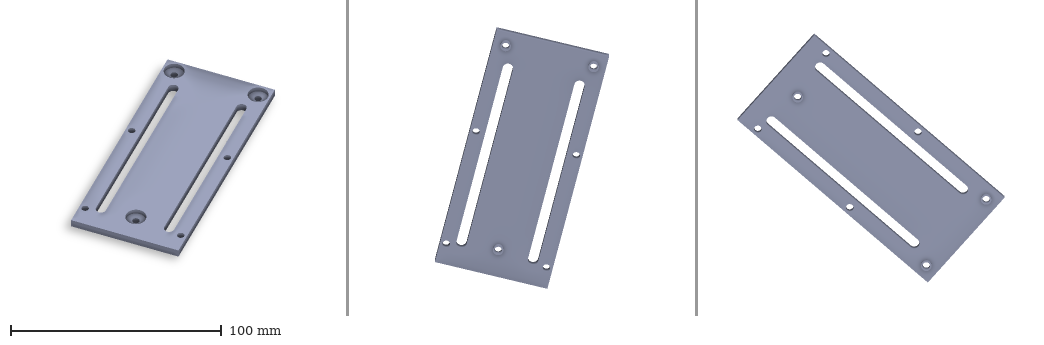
import cadquery as cq

plate_width = 55.0
plate_length = 120.0
plate_thickness = 4.0

standoff_diameter = 5.0
standoff_height = 2.0
screw_hole_diameter = 3.5
counterbore_diameter = 10.0
counterbore_depth = 2.5
rear_standoff_spacing = 43.0
rear_standoff_inset = 6.25
standoff_pitch_y = 100.0

slot_width = 5.0
slot_length = 95.0
slot_spacing = 35.0
slot_offset_x = 0.1
slot_front_inset = 10.0

side_hole_diameter = 3.5
side_hole_spacing = 49.0
side_hole_pitch_y = 58.0
side_hole_front_inset = 10.1

rear_standoff_y = plate_length / 2 - rear_standoff_inset
standoff_points = [
    (-rear_standoff_spacing / 2, rear_standoff_y),
    (rear_standoff_spacing / 2, rear_standoff_y),
    (0, rear_standoff_y - standoff_pitch_y),
]

slot_center_y = -plate_length / 2 + slot_front_inset + slot_length / 2
slot_points = [(slot_offset_x + side * slot_spacing / 2, slot_center_y) for side in (-1, 1)]

side_hole_front_y = -plate_length / 2 + side_hole_front_inset
side_hole_points = [
    (side * side_hole_spacing / 2, side_hole_front_y + row * side_hole_pitch_y)
    for side in (-1, 1)
    for row in (0, 1)
]


def plate():
    return cq.Workplane("XY").box(plate_width, plate_length, plate_thickness, centered=(True, True, False))


def add_standoffs(body):
    standoffs = (
        cq.Workplane("XY")
        .workplane(offset=-standoff_height)
        .pushPoints(standoff_points)
        .circle(standoff_diameter / 2)
        .extrude(standoff_height)
    )
    return body.union(standoffs)


def cut_screw_holes(body):
    return (
        body.faces(">Z")
        .workplane(origin=(0, 0, plate_thickness))
        .pushPoints(standoff_points)
        .cboreHole(screw_hole_diameter, counterbore_diameter, counterbore_depth)
    )


def cut_slots(body):
    slots = (
        cq.Workplane("XY")
        .pushPoints(slot_points)
        .slot2D(slot_length, slot_width, angle=90)
        .extrude(plate_thickness)
    )
    return body.cut(slots)


def cut_side_holes(body):
    holes = (
        cq.Workplane("XY")
        .pushPoints(side_hole_points)
        .circle(side_hole_diameter / 2)
        .extrude(plate_thickness)
    )
    return body.cut(holes)


result = cut_side_holes(cut_slots(cut_screw_holes(add_standoffs(plate()))))